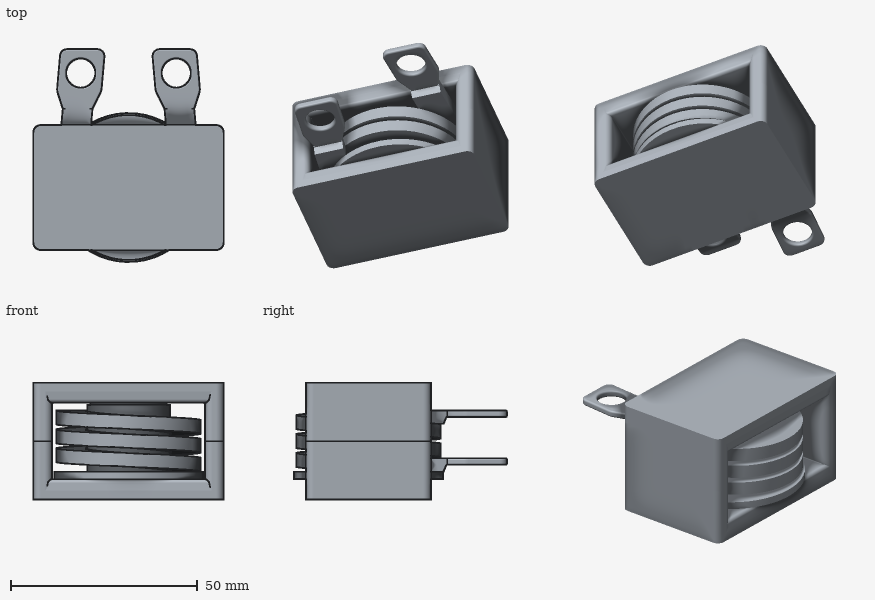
import cadquery as cq
import math

CORE_X = 51.0
CORE_Y = 33.5
CORE_Z = 31.3
CORE_CORNER_R = 2.0
WINDOW_X = 40.85
WINDOW_Z = 20.4
POST_R = 10.25
LEG_EDGE_R = 2.0
BEVEL_Z = 3.1
BEVEL_ANGLE = 5.0
CEILING_EDGE_R = 1.1
WALL_FILLET_R = 0.2

FLANGE_R = 19.95
FLANGE_THICKNESS = 2.0
TUBE_R = 11.1
TUBE_CLEARANCE = 0.5

STRIP_WIDTH = 8.0
STRIP_HEIGHT = 3.65
WINDING_R = 19.4
LEAD_ANGLE = 5.0
TURNS = 2.5 + 2 * LEAD_ANGLE / 360

RAMP_START_Y = 20.1
RAMP_END_Y = 20.9
FLARE_START_Y = 21.1
FLARE_END_Y = 25.9
LUG_HOLE_Y = 30.6
LUG_END_Y = 37.05
LUG_THICKNESS = STRIP_HEIGHT / 2
LUG_HALF_WIDTH = 6.0
LUG_HOLE_R = 3.9
LUG_CORNER_R = 2.0
LUG_SHOULDER_R = 3.4
LUG_EDGE_R = 0.5

CEILING_Z = WINDOW_Z / 2
TUBE_LENGTH = WINDOW_Z - TUBE_CLEARANCE
STRIP_INNER_R = WINDING_R - STRIP_WIDTH
STRIP_MID_R = WINDING_R - STRIP_WIDTH / 2
LEAN = math.radians(LEAD_ANGLE)
NECK_HALF_WIDTH = STRIP_WIDTH / 2 / math.cos(LEAN)
COIL_BOTTOM_Z = -CEILING_Z + FLANGE_THICKNESS
COIL_RISE = -2 * COIL_BOTTOM_Z - STRIP_HEIGHT
EPS = 0.005


def core_outline():
    """Outer block of one core half, from the mating plane upward."""
    return (
        cq.Workplane("XY")
        .rect(CORE_X, CORE_Y)
        .extrude(CORE_Z / 2)
        .edges("|Z")
        .fillet(CORE_CORNER_R)
    )


def core_plate():
    """Plate above the window, with a bevel and a rounded edge at both openings."""
    half_y = CORE_Y / 2
    bevel_depth = BEVEL_Z * math.tan(math.radians(BEVEL_ANGLE))
    ceiling_half_y = half_y - bevel_depth
    outline = [
        (-half_y, CORE_Z / 2),
        (-half_y, CEILING_Z + BEVEL_Z),
        (-ceiling_half_y, CEILING_Z),
        (ceiling_half_y, CEILING_Z),
        (half_y, CEILING_Z + BEVEL_Z),
        (half_y, CORE_Z / 2),
    ]
    return (
        cq.Workplane("YZ", origin=(-CORE_X / 2, 0, 0))
        .polyline(outline)
        .close()
        .extrude(CORE_X)
        .faces("<Z")
        .edges("|X")
        .fillet(CEILING_EDGE_R)
    )


def core_legs():
    """Two outer legs, with the edges at the window openings rounded."""
    leg_x = (CORE_X - WINDOW_X) / 2
    leg_centers = [(side * (WINDOW_X + leg_x) / 2, 0) for side in (-1, 1)]
    legs = (
        cq.Workplane("XY")
        .pushPoints(leg_centers)
        .rect(leg_x, CORE_Y)
        .extrude(CORE_Z / 2)
    )
    opening_edges = cq.selectors.BoxSelector(
        (-CORE_X / 2 + leg_x / 2, -CORE_Y, -CORE_Z),
        (CORE_X / 2 - leg_x / 2, CORE_Y, CORE_Z),
    )
    return legs.edges("|Z").edges(opening_edges).fillet(LEG_EDGE_R)


def wall_fillet():
    """Fillet strip between the right-hand leg and the ceiling, along the flat part of the leg."""
    wall_x = WINDOW_X / 2
    length = CORE_Y - 2 * LEG_EDGE_R
    return (
        cq.Workplane("XZ", origin=(0, length / 2, 0))
        .moveTo(wall_x, CEILING_Z)
        .lineTo(wall_x - WALL_FILLET_R, CEILING_Z)
        .radiusArc((wall_x, CEILING_Z - WALL_FILLET_R), WALL_FILLET_R)
        .close()
        .extrude(length)
    )


def make_upper_core():
    """Core half above the mating plane: plate, two legs and half of the centre post."""
    post = cq.Workplane("XY").circle(POST_R).extrude(CEILING_Z)
    core = core_plate().union(core_legs()).intersect(core_outline()).union(post)
    return core.union(wall_fillet()).union(wall_fillet().mirror("YZ"))


def make_bobbin():
    """Tube around the centre post with a flange at its lower end."""
    flange = cq.Workplane("XY").circle(FLANGE_R).extrude(FLANGE_THICKNESS)
    tube = cq.Workplane("XY").circle(TUBE_R).extrude(TUBE_LENGTH)
    bore = cq.Workplane("XY").circle(POST_R).extrude(TUBE_LENGTH)
    return flange.union(tube).cut(bore).translate((0, 0, -CEILING_Z))


def lead_point(offset, y):
    """XY point of the right-hand lead, at a sideways offset from its leaning centre line."""
    center_x = STRIP_MID_R / math.cos(LEAN) - y * math.tan(LEAN)
    return (center_x + offset, y)


def winding_coil():
    """Strip swept along a left-handed helix, from the right-hand lead up to the left-hand one."""
    helix = cq.Wire.makeHelix(COIL_RISE / TURNS, COIL_RISE, STRIP_MID_R, lefthand=True)
    return (
        cq.Workplane("XZ", origin=(STRIP_MID_R, 0, 0))
        .rect(STRIP_WIDTH, STRIP_HEIGHT)
        .sweep(cq.Workplane(helix), isFrenet=True)
        .rotate((0, 0, 0), (0, 0, 1), LEAD_ANGLE)
    )


def lead_arm():
    """Straight lead on the right, ramped on its underside from strip height to lug thickness."""
    start_inner = (STRIP_INNER_R * math.cos(LEAN), STRIP_INNER_R * math.sin(LEAN))
    start_outer = (WINDING_R * math.cos(LEAN), WINDING_R * math.sin(LEAN))
    arm = (
        cq.Workplane("XY")
        .polyline([
            start_inner,
            start_outer,
            lead_point(NECK_HALF_WIDTH, FLARE_START_Y),
            lead_point(-NECK_HALF_WIDTH, FLARE_START_Y),
        ])
        .close()
        .extrude(STRIP_HEIGHT)
    )
    lug_bottom = STRIP_HEIGHT - LUG_THICKNESS
    relief = (
        cq.Workplane("YZ")
        .polyline([
            (RAMP_START_Y, 0),
            (RAMP_END_Y, lug_bottom),
            (FLARE_START_Y, lug_bottom),
            (FLARE_START_Y, 0),
        ])
        .close()
        .extrude(WINDING_R)
    )
    return arm.cut(relief)


def lead_lug():
    """Flat lug with a round hole, flared from the lead width and rounded on its edges."""
    plate = (
        cq.Workplane("XY")
        .polyline([
            lead_point(NECK_HALF_WIDTH, FLARE_START_Y),
            lead_point(LUG_HALF_WIDTH, FLARE_END_Y),
            lead_point(LUG_HALF_WIDTH, LUG_END_Y),
            lead_point(-LUG_HALF_WIDTH, LUG_END_Y),
            lead_point(-LUG_HALF_WIDTH, FLARE_END_Y),
            lead_point(-NECK_HALF_WIDTH, FLARE_START_Y),
        ])
        .close()
        .extrude(LUG_THICKNESS)
    )
    plate = plate.edges("|Z and >Y").fillet(LUG_CORNER_R)
    shoulders = cq.selectors.BoxSelector(
        (0, FLARE_END_Y - EPS, 0),
        (CORE_X, FLARE_END_Y + EPS, LUG_THICKNESS),
    )
    plate = plate.edges("|Z").edges(shoulders).fillet(LUG_SHOULDER_R)
    hole = (
        cq.Workplane("XY")
        .center(*lead_point(0, LUG_HOLE_Y))
        .circle(LUG_HOLE_R)
        .extrude(LUG_THICKNESS)
    )
    plate = plate.cut(hole)
    rims = plate.faces("<Z or >Z").edges().filter(
        lambda edge: edge.Center().y > FLARE_START_Y + EPS
    )
    return rims.fillet(LUG_EDGE_R).translate((0, 0, STRIP_HEIGHT - LUG_THICKNESS))


def make_winding():
    """Helical coil with a lead and lug at each end."""
    terminal = lead_arm().union(lead_lug())
    lower_terminal = terminal.translate((0, 0, COIL_BOTTOM_Z))
    upper_terminal = terminal.mirror("YZ").translate((0, 0, COIL_BOTTOM_Z + COIL_RISE))
    coil = winding_coil().translate((0, 0, COIL_BOTTOM_Z + STRIP_HEIGHT / 2))
    return coil.union(lower_terminal).union(upper_terminal)


upper_core = make_upper_core()
lower_core = upper_core.mirror("XY")
bobbin = make_bobbin()
winding = make_winding()

result = cq.Compound.makeCompound([
    upper_core.val(),
    lower_core.val(),
    bobbin.val(),
    winding.val(),
])